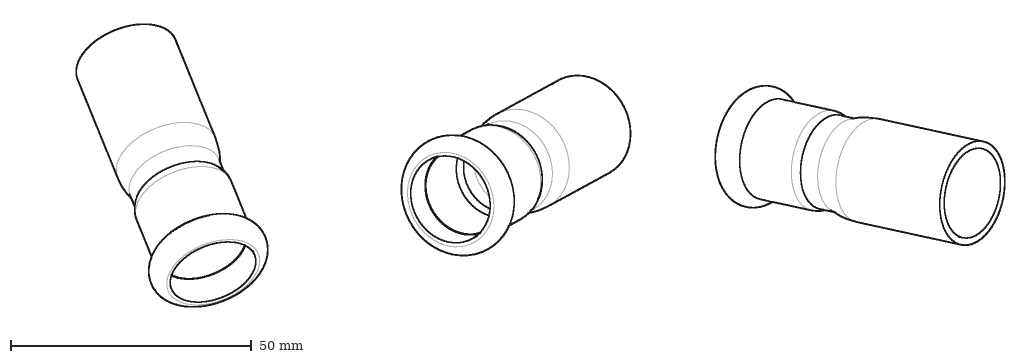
import cadquery as cq
import math

length = 59.5
pipe_end = 27.5
waist_start = 33.1
waist_end = 37.55
socket_start = 39.5

pipe_radius = 22.0 / 2
pipe_bore_radius = 19.0 / 2
waist_radius = 20.0 / 2
waist_bore_radius = 17.0 / 2
socket_radius = 21.3 / 2
socket_bore_radius = 18.3 / 2
mouth_bore_radius = 18.7 / 2

bead_radius = 25.7 / 2
bead_round = 3.35
bead_center = 56.2
bead_ring_radius = bead_radius - bead_round


def bead_half_chord(offset):
    """Half length of the chord at this distance from the centre of the bead's round section."""
    return math.sqrt(bead_round**2 - offset**2)


bead_start = bead_center - bead_half_chord(socket_radius - bead_ring_radius)
bead_end_radius = bead_ring_radius + bead_half_chord(length - bead_center)


def shoulder_middle(cylinder_x, cylinder_radius, waist_x):
    """Point halfway along the shoulder arc that is tangent to a cylinder and drops to the waist."""
    run = waist_x - cylinder_x
    drop = cylinder_radius - waist_radius
    arc_radius = (run**2 + drop**2) / (2 * drop)
    middle_drop = arc_radius - math.sqrt(arc_radius**2 - (run / 2) ** 2)
    return (cylinder_x + run / 2, cylinder_radius - middle_drop)


outside = (
    cq.Workplane("XY")
    .moveTo(0, pipe_bore_radius)
    .lineTo(0, pipe_radius)
    .lineTo(pipe_end, pipe_radius)
    .threePointArc(shoulder_middle(pipe_end, pipe_radius, waist_start), (waist_start, waist_radius))
    .lineTo(waist_end, waist_radius)
    .threePointArc(shoulder_middle(socket_start, socket_radius, waist_end), (socket_start, socket_radius))
    .lineTo(bead_start, socket_radius)
    .threePointArc((bead_center, bead_radius), (length, bead_end_radius))
)

section = (
    outside.lineTo(length, mouth_bore_radius)
    .lineTo(bead_start, mouth_bore_radius)
    .lineTo(bead_start, socket_bore_radius)
    .lineTo(socket_start, socket_bore_radius)
    .lineTo(waist_end, waist_bore_radius)
    .lineTo(waist_start, waist_bore_radius)
    .lineTo(pipe_end, pipe_bore_radius)
    .close()
)

result = section.revolve(360, (0, 0, 0), (1, 0, 0))